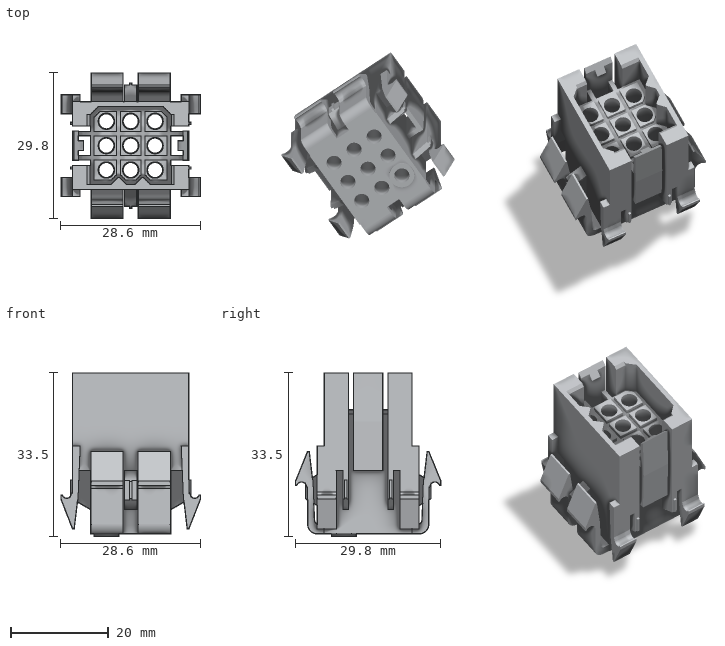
import cadquery as cq
import math

overall_x = 28.6
overall_y = 29.8
overall_z = 33.5
pad_height = 0.5
body_top = overall_z - pad_height

core_x = 8.25
core_y = 9.0
floor_z = 24.6
cell_top = 25.5

shroud_x = 11.93
column_bottom = 12.95
column_inner_y = 4.02
cavity_x = 8.3
cavity_back_y = 7.97
cavity_front_y = -7.97
cavity_chamfer = 1.65
mouth_bevel = 0.6

key_x = 2.45
key_base = 1.6
key_tip = 0.15
key_height = key_base - key_tip

pitch = 5.0
cell_inner = 2.08
cell_near = 2.95
cell_far = 7.47
cell_back = 7.0
cell_corner = 1.17
key_corner = 1.0
bore_radius = 1.68
contact_radius = 1.55
contact_depth = floor_z / 2

plate_y = 3.0
plate_inner_x = 10.72
plate_crest_z = 22.95
plate_lean = 0.27
tongue_x = 9.65
tongue_y = 1.0
rib_near = 2.0
rib_far = 2.95

barb_shoulder = 6.1
barb_lip = 6.97
hollow_bottom = 6.3
hollow_start = 6.7
relief_start = 7.6
hollow_start_out = 0.4
hollow_bottom_out = 1.15
lip_width = 0.27
tip_width = 0.37
barb_back = 6.45
barb_thickness = 1.15

side_clip_top = 18.02
side_clip_tip = 1.05
side_clip_thickness = 1.57
side_clip_near = 6.5
side_clip_far = 10.45

end_clip_face = 12.43
end_clip_tip = 16.92
end_clip_near = 1.55
end_clip_far = 8.1
end_clip_bend = 2.0
slot_floor = 1.9
slot_fillet = 1.0
end_clip_inner = 11.0

stop_slope = math.tan(math.radians(30))
stop_root_bottom = 5.0
stop_root_top = column_bottom
stop_rib_out = 0.45
stop_rib_half = 0.25
side_stop_near = column_inner_y
side_stop_far = 5.2
side_stop_rib_y = 4.6
side_stop_rib_top = 11.05
end_stop_half = 1.27

arc_mid_inset = 1 - math.sqrt(0.5)

pad_radius = 2.55


def block(x0, x1, y0, y1, z0, z1):
    size = (x1 - x0, y1 - y0, z1 - z0)
    return cq.Workplane("XY").box(*size, centered=False).translate((x0, y0, z0))


def prism_along_y(outline, y0, y1):
    """Solid from a closed (x, z) outline, between two Y positions."""
    return outline.extrude(y0 - y1).translate((0, y0, 0))


def prism_along_x(outline, x0, x1):
    """Solid from a closed (y, z) outline, between two X positions."""
    return outline.extrude(x1 - x0).translate((x0, 0, 0))


def with_mirror(solid, plane):
    return solid.union(solid.mirror(plane))


def on_both_axes(solid):
    return with_mirror(with_mirror(solid, "YZ"), "XZ")


def make_shroud():
    shroud = block(-shroud_x, shroud_x, -core_y, core_y, column_bottom, body_top)
    window = block(core_x, shroud_x, -column_inner_y, column_inner_y, column_bottom, body_top)
    return shroud.cut(with_mirror(window, "YZ"))


def make_cavity():
    outline = [
        (-cavity_x, cavity_front_y),
        (cavity_x, cavity_front_y),
        (cavity_x, cavity_back_y - cavity_chamfer),
        (cavity_x - cavity_chamfer, cavity_back_y),
        (-cavity_x + cavity_chamfer, cavity_back_y),
        (-cavity_x, cavity_back_y - cavity_chamfer),
    ]
    cavity = cq.Workplane("XY").workplane(offset=floor_z).polyline(outline).close()
    cavity = cavity.extrude(body_top - floor_z)
    bevel_outline = (
        cq.Workplane("XZ")
        .moveTo(cavity_x, body_top)
        .lineTo(cavity_x + mouth_bevel, body_top)
        .lineTo(cavity_x, body_top - mouth_bevel)
        .close()
    )
    bevel = prism_along_y(bevel_outline, cavity_front_y, cavity_back_y - cavity_chamfer)
    return cavity.union(with_mirror(bevel, "YZ"))


def make_keys():
    tip_y = cavity_front_y + key_height
    keys = cq.Workplane("XY")
    for x in (-key_x, key_x):
        outline = [
            (x - key_base, cavity_front_y),
            (x - key_tip, tip_y),
            (x + key_tip, tip_y),
            (x + key_base, cavity_front_y),
        ]
        key = cq.Workplane("XY").workplane(offset=floor_z).polyline(outline).close()
        keys = keys.union(key.extrude(body_top - floor_z))
    return keys


def make_cells():
    columns = [(-cell_far, -cell_near), (-cell_inner, cell_inner), (cell_near, cell_far)]
    rows = [(-cell_back, -cell_near), (-rib_near, rib_near), (cell_near, cell_back)]
    corners = {
        (0, 2): ("<X and >Y", cell_corner),
        (2, 2): (">X and >Y", cell_corner),
        (0, 0): (">X and <Y", key_corner),
        (1, 0): ("<Y", key_corner),
        (2, 0): ("<X and <Y", key_corner),
    }
    cells = cq.Workplane("XY")
    for i, (x0, x1) in enumerate(columns):
        for j, (y0, y1) in enumerate(rows):
            cell = block(x0, x1, y0, y1, floor_z, cell_top)
            if (i, j) in corners:
                edges, size = corners[(i, j)]
                cell = cell.edges("|Z").edges(edges).chamfer(size)
            cells = cells.union(cell)
    return cells


def make_latch_plates():
    plate_end_x = shroud_x - plate_lean
    plate_outline = (
        cq.Workplane("XZ")
        .moveTo(plate_end_x, column_bottom)
        .lineTo(shroud_x, plate_crest_z)
        .lineTo(plate_end_x, body_top)
        .lineTo(plate_inner_x, body_top - (plate_end_x - plate_inner_x))
        .lineTo(plate_inner_x, column_bottom)
        .close()
    )
    plate = prism_along_y(plate_outline, -plate_y, plate_y)
    tongue_z = body_top - (plate_end_x - tongue_x)
    tongue_outline = (
        cq.Workplane("XZ")
        .moveTo(tongue_x, tongue_z)
        .lineTo(plate_inner_x, tongue_z)
        .lineTo(plate_inner_x, tongue_z + plate_inner_x - tongue_x)
        .close()
    )
    plate = plate.union(prism_along_y(tongue_outline, -tongue_y, tongue_y))
    rib = block(core_x, plate_inner_x, rib_near, rib_far, column_bottom, floor_z)
    plate = plate.union(with_mirror(rib, "XZ"))
    return with_mirror(plate, "YZ")


def add_barb(outline, face, reach, tip, direction):
    """Continue a clip outline from its outer face round the barb to the inner face."""
    def at(out, back):
        return (face + out, tip - direction * back)

    return (
        outline.lineTo(*at(0, relief_start))
        .lineTo(*at(hollow_start_out, hollow_start))
        .threePointArc(at(hollow_bottom_out, hollow_bottom), at(reach - lip_width, barb_lip))
        .lineTo(*at(reach, barb_lip))
        .lineTo(*at(reach, barb_shoulder))
        .lineTo(*at(0, 0))
        .lineTo(*at(-tip_width, 0))
        .lineTo(*at(-barb_thickness, barb_back))
    )


def make_side_clips():
    outline = cq.Workplane("XZ").moveTo(shroud_x, side_clip_top)
    outline = add_barb(outline, shroud_x, overall_x / 2 - shroud_x, side_clip_tip, -1)
    outline = outline.lineTo(shroud_x - side_clip_thickness, side_clip_top).close()
    return on_both_axes(prism_along_y(outline, side_clip_near, side_clip_far))


def make_end_clips():
    bend_mid = end_clip_bend * arc_mid_inset
    outline = (
        cq.Workplane("YZ")
        .moveTo(core_y, slot_floor)
        .lineTo(core_y, 0)
        .lineTo(end_clip_face - end_clip_bend, 0)
        .threePointArc((end_clip_face - bend_mid, bend_mid), (end_clip_face, end_clip_bend))
    )
    outline = add_barb(outline, end_clip_face, overall_y / 2 - end_clip_face, end_clip_tip, 1)
    slot_mid = slot_fillet * arc_mid_inset
    outline = (
        outline.lineTo(end_clip_inner, slot_floor + slot_fillet)
        .threePointArc(
            (end_clip_inner - slot_mid, slot_floor + slot_mid),
            (end_clip_inner - slot_fillet, slot_floor),
        )
        .close()
    )
    return on_both_axes(prism_along_x(outline, end_clip_near, end_clip_far))


def stop_outline(plane, root, face, flat_top=None):
    """Wedge with a sloping underside; the top slopes too unless flat_top is given."""
    rise = stop_slope * (face - root)
    if flat_top is None:
        root_top, face_top = stop_root_top, stop_root_top - rise
    else:
        root_top, face_top = flat_top, flat_top
    points = [
        (root, stop_root_bottom),
        (face, stop_root_bottom + rise),
        (face, face_top),
        (root, root_top),
    ]
    return cq.Workplane(plane).polyline(points).close()


def make_stops():
    side_body = stop_outline("XZ", core_x, shroud_x, column_bottom)
    side = prism_along_y(side_body, side_stop_near, side_stop_far)
    side_rib = stop_outline("XZ", core_x, shroud_x + stop_rib_out, side_stop_rib_top)
    side = side.union(
        prism_along_y(side_rib, side_stop_rib_y - stop_rib_half, side_stop_rib_y + stop_rib_half)
    )
    end_body = stop_outline("YZ", core_y, end_clip_face)
    end = prism_along_x(end_body, -end_stop_half, end_stop_half)
    end_rib = stop_outline("YZ", core_y, end_clip_face + stop_rib_out)
    end = end.union(prism_along_x(end_rib, -stop_rib_half, stop_rib_half))
    return on_both_axes(side).union(with_mirror(end, "XZ"))


def make_bores():
    centres = [(i * pitch, j * pitch) for i in (-1, 0, 1) for j in (-1, 0, 1)]
    lower = cq.Workplane("XY").workplane(offset=-pad_height).pushPoints(centres)
    lower = lower.circle(contact_radius).extrude(contact_depth + pad_height)
    upper = cq.Workplane("XY").workplane(offset=contact_depth).pushPoints(centres)
    upper = upper.circle(bore_radius).extrude(cell_top - contact_depth)
    return lower.union(upper)


core = block(-core_x, core_x, -core_y, core_y, 0, floor_z)
pad = cq.Workplane("XY").center(-pitch, -pitch).circle(pad_radius).extrude(-pad_height)

result = (
    make_shroud()
    .cut(make_cavity())
    .union(core)
    .union(make_keys())
    .union(make_cells())
    .union(make_latch_plates())
    .union(make_side_clips())
    .union(make_end_clips())
    .union(make_stops())
    .union(pad)
    .cut(make_bores())
)